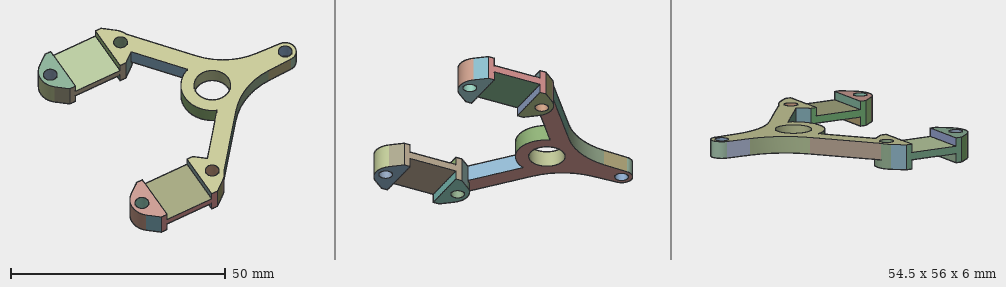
import cadquery as cq
import math

pad_height = 6.0
frame_thickness = 4.0
frame_bottom = pad_height - frame_thickness
web_bottom = 2.2
web_top = 4.0

hub_radius = 7.35
hub_bore = 8.5
screw_hole = 3.2

spoke_hole_y = 19.6
spoke_end_radius = 2.6
spoke_taper = math.radians(2.7)

arm_width = 4.4
arm_slope = math.radians(39)
arm_upper_y = 8.5
arm_end_x = 24.2
blend_radius = 17.1

overall_width = 54.5
pad_width = 11.6
pad_length = 24.0
pad_x = (overall_width - pad_width) / 2
pad_y = -21.82
pad_side_length = 15.1
pad_end_radius = 4.6
pad_hole_spacing = 18.9
recess_length = 12.0


def spoke_and_arm(side):
    """Half of the spoke with one arm; side is +1 for +X and -1 for -X."""
    sin_slope, cos_slope = math.sin(arm_slope), math.cos(arm_slope)
    edge_x = spoke_end_radius * math.cos(spoke_taper)
    edge_y = spoke_hole_y + spoke_end_radius * math.sin(spoke_taper)
    spread = math.tan(spoke_taper)
    slope = math.tan(arm_slope)
    corner_x = (edge_x + spread * (edge_y - arm_upper_y)) / (1 - spread * slope)
    corner_y = arm_upper_y - slope * corner_x
    end_y = arm_upper_y - slope * arm_end_x
    points = [
        (0, edge_y),
        (edge_x, edge_y),
        (corner_x, corner_y),
        (arm_end_x, end_y),
        (arm_end_x - arm_width * sin_slope, end_y - arm_width * cos_slope),
        (0, arm_upper_y - arm_width / cos_slope),
    ]
    outline = [(side * x, y) for x, y in points]
    body = cq.Workplane("XY").workplane(offset=frame_bottom).polyline(outline).close()
    body = body.extrude(frame_thickness)
    corner = cq.selectors.NearestToPointSelector(
        (side * corner_x, corner_y, frame_bottom + frame_thickness / 2)
    )
    return body.edges("|Z").edges(corner).fillet(blend_radius)


def disc(x, y, radius):
    """Round boss over the thickness of the frame."""
    plane = cq.Workplane("XY").workplane(offset=frame_bottom)
    return plane.center(x, y).circle(radius).extrude(frame_thickness)


def mounting_pad(x):
    """Pad with rounded, tapered ends, thinned to a web between its end blocks."""
    half_width = pad_width / 2
    half_side = pad_side_length / 2
    half_length = pad_length / 2
    arc_center = half_length - pad_end_radius
    rise = half_side - arc_center
    reach = math.hypot(half_width, rise)
    tangent_angle = math.atan2(rise, half_width) + math.acos(pad_end_radius / reach)
    tangent_x = pad_end_radius * math.cos(tangent_angle)
    tangent_y = arc_center + pad_end_radius * math.sin(tangent_angle)
    pad = (
        cq.Workplane("XY")
        .center(x, pad_y)
        .moveTo(half_width, -half_side)
        .lineTo(half_width, half_side)
        .lineTo(tangent_x, tangent_y)
        .threePointArc((0, half_length), (-tangent_x, tangent_y))
        .lineTo(-half_width, half_side)
        .lineTo(-half_width, -half_side)
        .lineTo(-tangent_x, -tangent_y)
        .threePointArc((0, -half_length), (tangent_x, -tangent_y))
        .close()
        .extrude(pad_height)
    )
    for bottom, top in ((0, web_bottom), (web_top, pad_height)):
        plane = cq.Workplane("XY").workplane(offset=bottom).center(x, pad_y)
        pad = pad.cut(plane.rect(pad_width, recess_length).extrude(top - bottom))
    return pad


def through_holes(points, diameter):
    return cq.Workplane("XY").pushPoints(points).circle(diameter / 2).extrude(pad_height)


body = disc(0, 0, hub_radius).union(disc(0, spoke_hole_y, spoke_end_radius))
for side in (-1, 1):
    body = body.union(spoke_and_arm(side))
    body = body.union(mounting_pad(side * pad_x))

screw_points = [(0, spoke_hole_y)]
for side in (-1, 1):
    for end in (-1, 1):
        screw_points.append((side * pad_x, pad_y + end * pad_hole_spacing / 2))
body = body.cut(through_holes(screw_points, screw_hole))
result = body.cut(through_holes([(0, 0)], hub_bore))